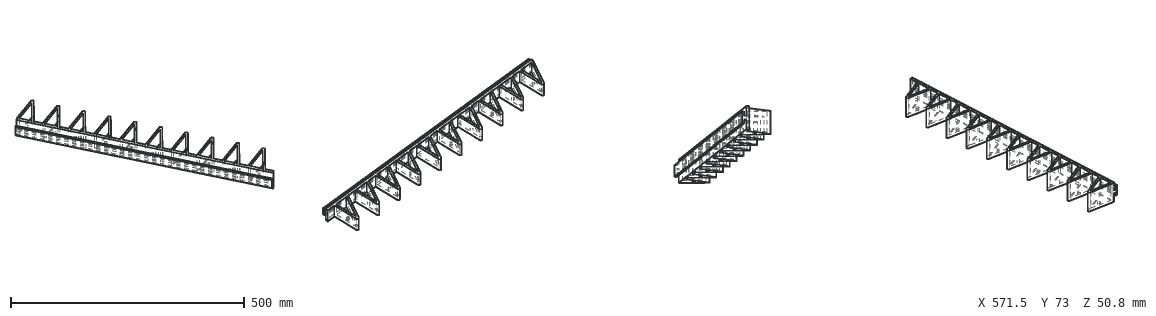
import cadquery as cq
import math

tooth_count = 10
tooth_pitch = 57.15
rail_length = tooth_count * tooth_pitch
height = 50.8

flange_thickness = 4.7625
flange_height = 25.4
neck_depth = 4.7625
neck_height = 7.9375
plate_thickness = 6.35
plate_front = flange_thickness + neck_depth
plate_back = plate_front + plate_thickness

tooth_base_width = 38.1
tooth_depth = 57.15
tip_radius = 3.5
wall_thickness = 4.7625
floor_thickness = wall_thickness
hole_diameter = 6.35
hole_offset = 22.225

half_base = tooth_base_width / 2
tip_center = tooth_depth - tip_radius
corner_to_tip_angle = math.atan2(half_base, tip_center)
tangent_angle = math.asin(tip_radius / math.hypot(half_base, tip_center))
flank_angle = corner_to_tip_angle - tangent_angle
tangent_x = tip_radius * math.cos(flank_angle)
tangent_y = tip_center + tip_radius * math.sin(flank_angle)

pocket_half_base = half_base - wall_thickness / math.cos(flank_angle)
pocket_depth = pocket_half_base / math.tan(flank_angle)


def rail_block(front, depth, block_height):
    """Full-length bar centred on the rail's mid-height."""
    return (
        cq.Workplane("XY")
        .box(rail_length, depth, block_height, centered=(False, False, True))
        .translate((0, front, height / 2))
    )


def make_rail():
    flange = rail_block(0, flange_thickness, flange_height)
    neck = rail_block(flange_thickness, neck_depth, neck_height)
    plate = rail_block(plate_front, plate_thickness, height)
    return flange.union(neck).union(plate)


def make_tooth(center_x):
    """Wedge with a round tip, an open-topped pocket and a hole through its floor."""
    base = cq.Workplane("XY", origin=(center_x, plate_back, 0))
    wedge = (
        base.moveTo(-half_base, 0)
        .lineTo(half_base, 0)
        .lineTo(tangent_x, tangent_y)
        .threePointArc((0, tooth_depth), (-tangent_x, tangent_y))
        .close()
        .extrude(height)
    )
    pocket = (
        base.workplane(offset=floor_thickness)
        .polyline([(-pocket_half_base, 0), (pocket_half_base, 0), (0, pocket_depth)])
        .close()
        .extrude(height - floor_thickness)
    )
    hole = base.center(0, hole_offset).circle(hole_diameter / 2).extrude(height)
    return wedge.cut(pocket).cut(hole)


result = make_rail()
for index in range(tooth_count):
    result = result.union(make_tooth(half_base + index * tooth_pitch))